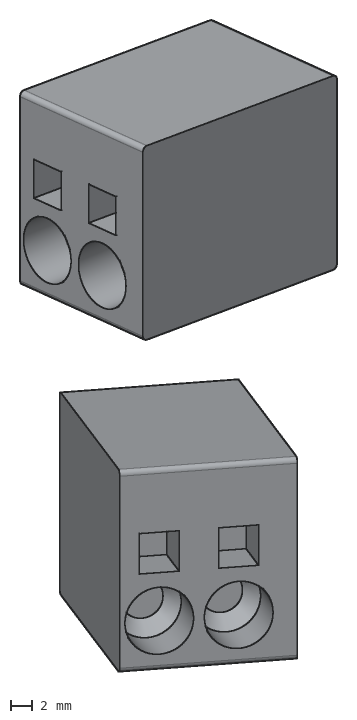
import cadquery as cq

width = 16.8
length = 24.15
height = 19.6
edge_radius = 0.5
front_y = -length / 2

pole_count = 2
pole_pitch = 7.5
first_pole_x = -4.65

straight_depth = 5.0

bore_diameter = 6.5
floor_diameter = 4.0
cone_depth = 2.0
bore_z = -5.0

slot_width = 3.75
slot_height = 3.91
slot_z = 1.62


def make_housing():
    """Block with its four X-direction edges rounded."""
    block = cq.Workplane("XY").box(width, length, height)
    return block.edges("|X").fillet(edge_radius)


def make_wire_entry(x):
    """Half profile of the bore and cone, revolved about the entry's own Y axis."""
    cone_start = front_y + straight_depth
    floor_y = cone_start + cone_depth
    profile = (
        cq.Workplane("XY")
        .moveTo(0, front_y)
        .lineTo(bore_diameter / 2, front_y)
        .lineTo(bore_diameter / 2, cone_start)
        .lineTo(floor_diameter / 2, floor_y)
        .lineTo(0, floor_y)
        .close()
    )
    entry = profile.revolve(360, (0, 0, 0), (0, 1, 0))
    return entry.translate((x, 0, bore_z))


def make_release_slot(x):
    """Rectangular pocket running inward from the front face."""
    slot = cq.Workplane("XY").box(slot_width, straight_depth, slot_height)
    return slot.translate((x, front_y + straight_depth / 2, slot_z))


result = make_housing()
for pole in range(pole_count):
    pole_x = first_pole_x + pole * pole_pitch
    result = result.cut(make_wire_entry(pole_x))
    result = result.cut(make_release_slot(pole_x))